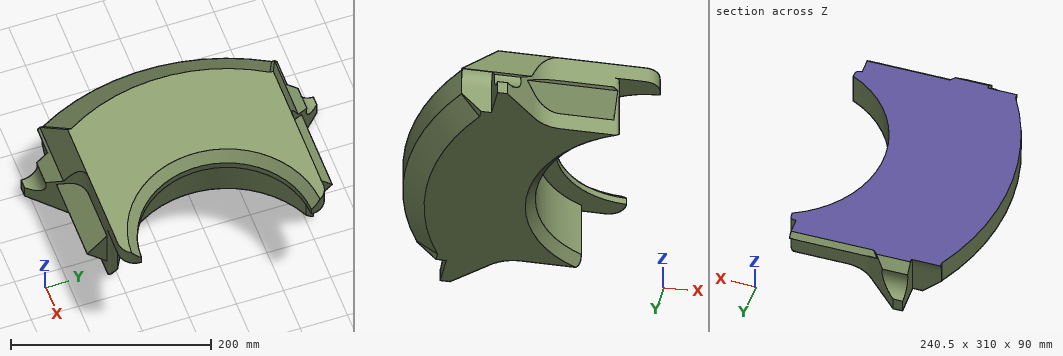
import cadquery as cq
import math

TOTAL_HEIGHT = 90.0
NOSE_BAND_BOTTOM = 20.0
NOSE_BAND_TOP = 50.0
SHELF_UNDERSIDE = 72.5

FLAT_FRONT_X = -210.0
FOOT_FRONT_X = -179.5
BODY_BACK_X = -46.0
SHELF_BACK_X = -2.0

NOSE_BAND_RADIUS = 242.5
NOSE_TOP_RADIUS = 200.0
NOSE_SLOPE = (NOSE_BAND_RADIUS - NOSE_TOP_RADIUS) / (TOTAL_HEIGHT - NOSE_BAND_TOP)
NOSE_BASE_RADIUS = NOSE_BAND_RADIUS - NOSE_SLOPE * NOSE_BAND_BOTTOM
NOSE_BACK_X = -150.0

SHELF_OPENING_RADIUS = 90.0
BODY_OPENING_RADIUS = 110.0
OPENING_CHAMFER = 10.0
SHELF_CORNER_RADIUS = 18.0
BODY_CORNER_RADIUS = 5.0

WALL_HALF_WIDTH = 109.0
SHOULDER_HALF_WIDTH = 124.5
NECK_HALF_WIDTH = 122.0
FOOT_HALF_WIDTH = 155.0

FLANK_SUM = SHOULDER_HALF_WIDTH + NOSE_BAND_TOP

FOOT_HEIGHT = 14.0
SCOOP_RADIUS = 17.0
SCOOP_CENTRE_Z = FOOT_HEIGHT + SCOOP_RADIUS

UNDERCUT_START_Z = 30.0
UNDERCUT_RADIUS = 32.0

FOOT_TIP_LENGTH = 10.0
FLARE_ANGLE = math.radians(45.0)
FLARE_BLEND_RADIUS = 40.0

RAIL_HALF_WIDTH = 130.0
RAIL_CENTRE_Z = 40.0
RAIL_FRONT_RUN = (FOOT_HALF_WIDTH - RAIL_HALF_WIDTH) / math.tan(FLARE_ANGLE)
RAIL_FRONT_X = FOOT_FRONT_X + FOOT_TIP_LENGTH + RAIL_FRONT_RUN
RAIL_BACK_X = -52.5


def circle_and_flank_crossing(centre_y, centre_z, radius):
    """Point where a circle crosses the 45 degree flank, on the side nearer the mid plane."""
    offset = FLANK_SUM - centre_y - centre_z
    half_chord = math.sqrt(2.0 * radius**2 - offset**2)
    dy = (offset - half_chord) / 2.0
    return (centre_y + dy, FLANK_SUM - centre_y - dy)


def circle_point(centre, radius, angle):
    """Point on a circle at an angle in radians."""
    return (centre[0] + radius * math.cos(angle), centre[1] + radius * math.sin(angle))


def arc_to(sketch, centre, radius, start, end):
    """Continue an outline along a circle from start to end by the short way round."""
    start_angle = math.atan2(start[1] - centre[1], start[0] - centre[0])
    end_angle = math.atan2(end[1] - centre[1], end[0] - centre[0])
    turn = math.remainder(end_angle - start_angle, math.tau)
    middle = circle_point(centre, radius, start_angle + turn / 2.0)
    return sketch.threePointArc(middle, end)


def both_sides(half):
    """Join a half on the +Y side with its mirror image."""
    return half.union(half.mirror("XZ"))


def extrude_half_section(outline, front_x, back_x):
    """Close an outline over the shoulder to the mid plane, extrude it along X and mirror it."""
    closed = (
        outline.lineTo(SHOULDER_HALF_WIDTH, NOSE_BAND_TOP)
        .lineTo(WALL_HALF_WIDTH, TOTAL_HEIGHT)
        .lineTo(0, TOTAL_HEIGHT)
        .close()
    )
    return both_sides(closed.extrude(back_x - front_x))


def section_start(front_x):
    """Begin a cross-section at the mid plane on the base."""
    return cq.Workplane("YZ", origin=(front_x, 0, 0)).moveTo(0, 0)


def undercut_section(front_x, back_x):
    """Narrow cross-section: upright neck, concave undercut and flank."""
    start = (NECK_HALF_WIDTH, UNDERCUT_START_Z)
    centre = (NECK_HALF_WIDTH + UNDERCUT_RADIUS, UNDERCUT_START_Z)
    tip = circle_and_flank_crossing(*centre, UNDERCUT_RADIUS)
    outline = section_start(front_x).lineTo(NECK_HALF_WIDTH, 0).lineTo(*start)
    outline = arc_to(outline, centre, UNDERCUT_RADIUS, start, tip)
    return extrude_half_section(outline, front_x, back_x)


def footed_section(front_x, back_x):
    """Wide cross-section: foot, round scoop and flank."""
    start = (FOOT_HALF_WIDTH, FOOT_HEIGHT)
    centre = (FOOT_HALF_WIDTH, SCOOP_CENTRE_Z)
    tip = circle_and_flank_crossing(*centre, SCOOP_RADIUS)
    outline = section_start(front_x).lineTo(FOOT_HALF_WIDTH, 0).lineTo(*start)
    outline = arc_to(outline, centre, SCOOP_RADIUS, start, tip)
    return extrude_half_section(outline, front_x, back_x)


def plan_outline():
    """Plan of the footed body: flared feet, straight walls, rounded shelf corners."""
    tip_end_x = FOOT_FRONT_X + FOOT_TIP_LENGTH
    flare_root_x = tip_end_x + (FOOT_HALF_WIDTH - WALL_HALF_WIDTH) / math.tan(FLARE_ANGLE)
    blend_length = FLARE_BLEND_RADIUS * math.tan(FLARE_ANGLE / 2.0)
    blend_start = (
        flare_root_x - blend_length * math.cos(FLARE_ANGLE),
        WALL_HALF_WIDTH + blend_length * math.sin(FLARE_ANGLE),
    )
    blend_end = (flare_root_x + blend_length, WALL_HALF_WIDTH)
    blend_centre = (blend_end[0], WALL_HALF_WIDTH + FLARE_BLEND_RADIUS)

    corner_centre = (SHELF_BACK_X - SHELF_CORNER_RADIUS, WALL_HALF_WIDTH - SHELF_CORNER_RADIUS)
    corner_start = (corner_centre[0], WALL_HALF_WIDTH)
    corner_end = (SHELF_BACK_X, corner_centre[1])

    outline = (
        cq.Workplane("XY")
        .moveTo(FOOT_FRONT_X, 0)
        .lineTo(FOOT_FRONT_X, FOOT_HALF_WIDTH)
        .lineTo(tip_end_x, FOOT_HALF_WIDTH)
        .lineTo(*blend_start)
    )
    outline = arc_to(outline, blend_centre, FLARE_BLEND_RADIUS, blend_start, blend_end)
    outline = outline.lineTo(*corner_start)
    outline = arc_to(outline, corner_centre, SHELF_CORNER_RADIUS, corner_start, corner_end)
    half = outline.lineTo(SHELF_BACK_X, 0).close().extrude(TOTAL_HEIGHT)
    return both_sides(half)


def side_outline():
    """Side silhouette: 45 degree front bevels, and a step under the shelf."""
    lower_front_x = FLAT_FRONT_X + NOSE_BAND_BOTTOM
    upper_front_x = FLAT_FRONT_X + TOTAL_HEIGHT - NOSE_BAND_TOP
    outline = (
        cq.Workplane("XZ")
        .moveTo(FLAT_FRONT_X, NOSE_BAND_BOTTOM)
        .lineTo(lower_front_x, 0)
        .lineTo(BODY_BACK_X, 0)
        .lineTo(BODY_BACK_X, SHELF_UNDERSIDE)
        .lineTo(SHELF_BACK_X, SHELF_UNDERSIDE)
        .lineTo(SHELF_BACK_X, TOTAL_HEIGHT)
        .lineTo(upper_front_x, TOTAL_HEIGHT)
        .lineTo(FLAT_FRONT_X, NOSE_BAND_TOP)
        .close()
    )
    return outline.extrude(FOOT_HALF_WIDTH, both=True)


def main_body():
    """Undercut front and footed rear, with rounded upright corners below the shelf."""
    front = undercut_section(FLAT_FRONT_X, FOOT_FRONT_X)
    rear = footed_section(FOOT_FRONT_X, SHELF_BACK_X).intersect(plan_outline())
    body = front.union(rear).intersect(side_outline())
    back_corners = cq.selectors.BoxSelector(
        (BODY_BACK_X - BODY_CORNER_RADIUS, -FOOT_HALF_WIDTH, 0),
        (BODY_BACK_X + BODY_CORNER_RADIUS, FOOT_HALF_WIDTH, SHELF_UNDERSIDE),
    )
    return body.edges("|Z").edges(back_corners).fillet(BODY_CORNER_RADIUS)


def nose():
    """Turned band with conical faces above and below, trimmed to the narrow cross-section."""
    turned = (
        cq.Workplane("XZ")
        .lineTo(NOSE_BASE_RADIUS, 0)
        .lineTo(NOSE_BAND_RADIUS, NOSE_BAND_BOTTOM)
        .lineTo(NOSE_BAND_RADIUS, NOSE_BAND_TOP)
        .lineTo(NOSE_TOP_RADIUS, TOTAL_HEIGHT)
        .lineTo(0, TOTAL_HEIGHT)
        .close()
        .revolve(360, (0, 0), (0, 1))
    )
    return turned.intersect(undercut_section(-NOSE_BAND_RADIUS, NOSE_BACK_X))


def side_rails():
    """V-shaped rails with 45 degree faces along both walls."""
    depth = RAIL_HALF_WIDTH - WALL_HALF_WIDTH
    rail = (
        cq.Workplane("YZ", origin=(RAIL_FRONT_X, 0, 0))
        .moveTo(WALL_HALF_WIDTH, RAIL_CENTRE_Z - depth)
        .lineTo(RAIL_HALF_WIDTH, RAIL_CENTRE_Z)
        .lineTo(WALL_HALF_WIDTH, RAIL_CENTRE_Z + depth)
        .close()
        .extrude(RAIL_BACK_X - RAIL_FRONT_X)
    )
    return both_sides(rail)


def opening():
    """Stepped round opening with a conical chamfer at the top and at the base."""
    return (
        cq.Workplane("XZ")
        .lineTo(BODY_OPENING_RADIUS + OPENING_CHAMFER, 0)
        .lineTo(BODY_OPENING_RADIUS, OPENING_CHAMFER)
        .lineTo(BODY_OPENING_RADIUS, SHELF_UNDERSIDE)
        .lineTo(SHELF_OPENING_RADIUS, SHELF_UNDERSIDE)
        .lineTo(SHELF_OPENING_RADIUS, TOTAL_HEIGHT - OPENING_CHAMFER)
        .lineTo(SHELF_OPENING_RADIUS + OPENING_CHAMFER, TOTAL_HEIGHT)
        .lineTo(0, TOTAL_HEIGHT)
        .close()
        .revolve(360, (0, 0), (0, 1))
    )


result = main_body().union(nose()).union(side_rails()).cut(opening())